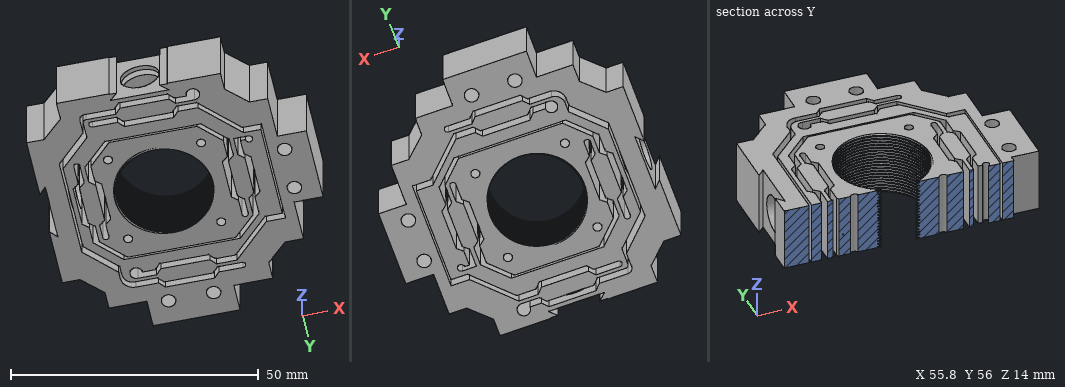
import cadquery as cq
import math

THICKNESS = 14.0
BODY_HALF = 25.0
RELIEF = 0.14
RELIEVED_SIDE = -BODY_HALF + RELIEF
SHOULDER_X = 16.94
SHOULDER_Y = 17.1
CORNER_INSET = 21.2

OFFSET_X = -0.1
OFFSET_Y = 0.1
TAB_REACH = 5.98
BACK_TAB_WIDTH = 18.0
RIGHT_TAB_WIDTH = 16.1
TAB_HOLE_DIAMETER = 2.9
TAB_HOLE_SPACING = 9.3
TAB_HOLE_SETBACK = 5.2
DOVETAIL_FLOOR = -23.39
DOVETAIL_MOUTH_HALF = 4.45
DOVETAIL_FLOOR_HALF = 6.03
ACTUATOR_HOLE_DIAMETER = 8.0
FRONT_BLOCK_DEPTH = 2.7

BORE_DIAMETER = 19.9
THREAD_ROOT_DIAMETER = 20.62
THREAD_PITCH = 25.4 / 36
THREAD_FLANK_ANGLE = 55.0
THREAD_START_ANGLE = 90.0
SCREW_HOLE_DIAMETER = 1.8
SCREW_HOLE_HALF_SPACING = 9.62

SLOT = 1.25
STAGE_X = 0.4
FRAME_GAP = 0.52
NARROW_GAP = 0.4
FRAME_WEB = 0.73
FRAME_OUTER = 21.2
FRAME_INNER = FRAME_OUTER - SLOT - FRAME_WEB
FRAME_BULGE_LONG = 6.2
FRAME_BULGE_SHORT = 5.07
STAGE_WEB = 0.9
STAGE_OUTER = 17.11
STAGE_INNER = STAGE_OUTER - SLOT - STAGE_WEB
STAGE_BULGE_LONG = 5.32
STAGE_BULGE_SHORT = 4.25


def prism(points):
    return cq.Workplane("XY").polyline(points).close().extrude(THICKNESS)


def cylinder(x, y, diameter):
    return cq.Workplane("XY").center(x, y).circle(diameter / 2).extrude(THICKNESS)


def box(x_min, x_max, y_min, y_max):
    return prism([(x_min, y_min), (x_max, y_min), (x_max, y_max), (x_min, y_max)])


def mirrored(points):
    """The same points reflected in x = 0, in reverse order."""
    return [(-x, y) for x, y in reversed(points)]


def flipped(points):
    """The same points reflected in y = 0, in reverse order."""
    return [(x, -y) for x, y in reversed(points)]


def level_bulge(y, step):
    """Edge running in +X at height y, stepping aside by `step` along the flexure block."""
    return [
        (STAGE_X - FRAME_BULGE_LONG, y),
        (STAGE_X - FRAME_BULGE_SHORT, y + step),
        (STAGE_X + FRAME_BULGE_SHORT, y + step),
        (STAGE_X + FRAME_BULGE_LONG, y),
    ]


def upright_bulge(x, step):
    """Edge running in +Y at x, stepping aside by `step` along the flexure block."""
    return [
        (x, -STAGE_BULGE_LONG),
        (x + step, -STAGE_BULGE_SHORT),
        (x + step, STAGE_BULGE_SHORT),
        (x, STAGE_BULGE_LONG),
    ]


def make_body():
    corner = [
        (BODY_HALF, SHOULDER_Y),
        (CORNER_INSET, SHOULDER_Y),
        (SHOULDER_X, CORNER_INSET),
        (SHOULDER_X, BODY_HALF),
    ]
    back = corner + mirrored(corner)
    body = prism(back + flipped(back))
    body = body.cut(box(-BODY_HALF, RELIEVED_SIDE, -BODY_HALF, BODY_HALF))
    tab_end = BODY_HALF + TAB_REACH
    back_half = BACK_TAB_WIDTH / 2
    right_half = RIGHT_TAB_WIDTH / 2
    body = body.union(box(OFFSET_X - back_half, OFFSET_X + back_half, 0, tab_end))
    body = body.union(box(0, tab_end, OFFSET_Y - right_half, OFFSET_Y + right_half))
    hole_row = tab_end - TAB_HOLE_SETBACK
    for side in (-1, 1):
        shift = side * TAB_HOLE_SPACING / 2
        body = body.cut(cylinder(OFFSET_X + shift, hole_row, TAB_HOLE_DIAMETER))
        body = body.cut(cylinder(hole_row, OFFSET_Y + shift, TAB_HOLE_DIAMETER))
    return body


def cut_dovetails(body):
    half_profile = [
        (DOVETAIL_FLOOR_HALF, DOVETAIL_FLOOR),
        (DOVETAIL_MOUTH_HALF, RELIEVED_SIDE),
        (DOVETAIL_MOUTH_HALF, -BODY_HALF),
    ]
    dovetail = prism(half_profile + mirrored(half_profile))
    front = dovetail.translate((OFFSET_X, 0, 0))
    left = dovetail.rotate((0, 0, 0), (0, 0, 1), -90).translate((0, OFFSET_Y, 0))
    land = box(-DOVETAIL_FLOOR_HALF, DOVETAIL_FLOOR_HALF, -BODY_HALF, RELIEVED_SIDE)
    land = land.translate((OFFSET_X, 0, 0))
    return body.cut(front).cut(left).cut(land)


def rounded_corner_slot(points):
    """Prism through points (x, y) or (x, y, radius); a radius rounds a square corner."""
    count = len(points)
    path = cq.Workplane("XY").moveTo(*points[0][:2])
    for i in range(1, count):
        here = cq.Vector(*points[i][:2])
        if len(points[i]) == 2:
            path = path.lineTo(here.x, here.y)
            continue
        radius = points[i][2]
        back = (cq.Vector(*points[i - 1][:2]) - here).normalized()
        ahead = (cq.Vector(*points[(i + 1) % count][:2]) - here).normalized()
        start = here + back * radius
        end = here + ahead * radius
        middle = here + (back + ahead) * radius * (1 - math.sqrt(0.5))
        path = path.lineTo(start.x, start.y).threePointArc((middle.x, middle.y), (end.x, end.y))
    return path.close().extrude(THICKNESS)


def make_left_frame_slot():
    """Slot around the left: outer slots of both frame flexures and the gap joining them."""
    back_end_x = 11.65
    relief_hole = (10.45, -21.3)
    relief_hole_diameter = 2.7
    neck_x = -13.17
    gap_x = -19.44
    knee_y = 17.0
    back_radius = 2.7
    back_inner_radius = 2.2
    front_radius = 1.2
    front_inner_radius = 0.7
    low_y = knee_y - (neck_x - gap_x)

    inner_y = FRAME_OUTER - SLOT
    outer_edge = [
        (back_end_x, FRAME_OUTER),
        *reversed(level_bulge(FRAME_OUTER, SLOT)),
        (neck_x, FRAME_OUTER, back_radius),
        (neck_x, knee_y),
        (gap_x, low_y),
        (gap_x, -low_y),
        (neck_x, -knee_y),
        (neck_x, -FRAME_OUTER, front_radius),
        *level_bulge(-FRAME_OUTER, -SLOT),
        (relief_hole[0], -FRAME_OUTER),
    ]
    inner_edge = [
        (relief_hole[0], -inner_y),
        *reversed(level_bulge(-inner_y, -SLOT)),
        (neck_x + FRAME_GAP, -inner_y, front_inner_radius),
        (neck_x + FRAME_GAP, -knee_y + SLOT),
        (gap_x + FRAME_GAP, -low_y + SLOT),
        (gap_x + FRAME_GAP, low_y - SLOT),
        (neck_x + FRAME_GAP, knee_y - SLOT),
        (neck_x + FRAME_GAP, inner_y, back_inner_radius),
        *level_bulge(inner_y, SLOT),
        (back_end_x, inner_y),
    ]
    slot = rounded_corner_slot(outer_edge + inner_edge)
    slot = slot.union(cylinder(back_end_x, FRAME_OUTER - SLOT / 2, SLOT))
    return slot.union(cylinder(*relief_hole, relief_hole_diameter))


def make_right_frame_slot():
    """Slot around the right: inner slots of both frame flexures and the gap joining them."""
    front_end_x = -10.98
    relief_hole = (-9.75, 17.95)
    relief_hole_diameter = 2.55
    diagonal_x = 10.78
    pocket_y = 11.47
    gap_x = 22.49
    pocket_x = diagonal_x + FRAME_INNER - pocket_y
    inner_y = FRAME_INNER - SLOT
    back_outer = [
        *level_bulge(FRAME_INNER, -SLOT),
        (diagonal_x, FRAME_INNER),
        (pocket_x, pocket_y),
        (gap_x, pocket_y),
    ]
    back_inner = [
        *level_bulge(inner_y, -SLOT),
        (diagonal_x, inner_y),
        (pocket_x, pocket_y - SLOT),
        (gap_x - NARROW_GAP, pocket_y - SLOT),
    ]
    outline = [
        (relief_hole[0], FRAME_INNER),
        *back_outer,
        *flipped(back_outer),
        (front_end_x, -FRAME_INNER),
        (front_end_x, -inner_y),
        *reversed(flipped(back_inner)),
        *reversed(back_inner),
        (relief_hole[0], inner_y),
    ]
    slot = prism(outline)
    slot = slot.union(cylinder(front_end_x, -FRAME_INNER + SLOT / 2, SLOT))
    return slot.union(cylinder(*relief_hole, relief_hole_diameter))


def make_outer_stage_slot():
    """Slot around the back of the stage: outer slots of both stage flexures."""
    left_end_y = -9.45
    left_knee_y = 9.05
    right_knee_y = 9.3
    gap_y = 14.28
    hook_x = 19.27
    hook_bottom_y = -9.23
    hook_width = 0.72
    left = STAGE_X - STAGE_OUTER
    right = STAGE_X + STAGE_OUTER
    hook_top_y = hook_bottom_y + hook_width
    left_rise = gap_y - left_knee_y
    right_rise = gap_y - right_knee_y
    inner_gap_y = gap_y - NARROW_GAP
    outline = [
        (left, left_end_y),
        *upright_bulge(left, -SLOT),
        (left, left_knee_y),
        (left + left_rise, gap_y),
        (right - right_rise, gap_y),
        (right, right_knee_y),
        *reversed(upright_bulge(right, SLOT)),
        (right, hook_top_y),
        (hook_x, hook_top_y),
        (hook_x, hook_bottom_y),
        (right - SLOT, hook_bottom_y),
        *upright_bulge(right - SLOT, SLOT),
        (right - SLOT, right_knee_y),
        (right - SLOT - right_rise + NARROW_GAP, inner_gap_y),
        (left + SLOT + left_rise - NARROW_GAP, inner_gap_y),
        (left + SLOT, left_knee_y),
        *reversed(upright_bulge(left + SLOT, -SLOT)),
        (left + SLOT, left_end_y),
    ]
    slot = prism(outline)
    slot = slot.union(cylinder(left + SLOT / 2, left_end_y, SLOT))
    return slot.union(cylinder(hook_x, hook_top_y, 2 * hook_width))


def make_inner_stage_slot():
    """Slot around the front of the stage: inner slots of both stage flexures."""
    left_end_y = 8.25
    right_end_y = 8.8
    left_knee_y = -8.87
    right_knee_y = -9.23
    gap_y = -14.07
    left = STAGE_X - STAGE_INNER
    right = STAGE_X + STAGE_INNER
    left_drop = left_knee_y - gap_y
    right_drop = right_knee_y - gap_y
    inner_gap_y = gap_y + NARROW_GAP
    outline = [
        (left, left_end_y),
        *reversed(upright_bulge(left, SLOT)),
        (left, left_knee_y),
        (left + left_drop, gap_y),
        (right - right_drop, gap_y),
        (right, right_knee_y),
        *upright_bulge(right, -SLOT),
        (right, right_end_y),
        (right - SLOT, right_end_y),
        *reversed(upright_bulge(right - SLOT, -SLOT)),
        (right - SLOT, right_knee_y),
        (right - SLOT - right_drop + NARROW_GAP, inner_gap_y),
        (left + SLOT + left_drop - NARROW_GAP, inner_gap_y),
        (left + SLOT, left_knee_y),
        *upright_bulge(left + SLOT, SLOT),
        (left + SLOT, left_end_y),
    ]
    slot = prism(outline)
    slot = slot.union(cylinder(left + SLOT / 2, left_end_y, SLOT))
    return slot.union(cylinder(right - SLOT / 2, right_end_y, SLOT))


def cut_actuator_holes(body):
    """Level holes from the dovetail floors, each opening into the flexure slot behind it.

    The front hole carries on as a blind hole in the flexure block.
    """
    mid_z = THICKNESS / 2
    left_end = STAGE_X - STAGE_OUTER - SLOT / 2
    front_end = -FRAME_OUTER + FRONT_BLOCK_DEPTH
    radius = ACTUATOR_HOLE_DIAMETER / 2
    left = cq.Solid.makeCylinder(
        radius,
        left_end + BODY_HALF,
        cq.Vector(-BODY_HALF, OFFSET_Y, mid_z),
        cq.Vector(1, 0, 0),
    )
    front = cq.Solid.makeCylinder(
        radius,
        front_end + BODY_HALF,
        cq.Vector(OFFSET_X, -BODY_HALF, mid_z),
        cq.Vector(0, 1, 0),
    )
    return body.cut(left).cut(front)


def cut_threaded_bore(body):
    body = body.cut(cylinder(0, 0, BORE_DIAMETER))
    crest = BORE_DIAMETER / 2
    root = THREAD_ROOT_DIAMETER / 2
    clearance = 0.1
    half_tangent = math.tan(math.radians(THREAD_FLANK_ANGLE / 2))
    half_height = (root - crest + clearance) * half_tangent
    profile = (
        cq.Workplane("XZ")
        .moveTo(crest - clearance, -half_height)
        .lineTo(root, 0)
        .lineTo(crest - clearance, half_height)
        .close()
    )
    helix = cq.Wire.makeHelix(THREAD_PITCH, THREAD_PITCH, crest)
    turn = profile.sweep(cq.Workplane(obj=helix), isFrenet=True)
    turn = turn.rotate((0, 0, 0), (0, 0, 1), THREAD_START_ANGLE)
    turns_below_top = math.ceil(THICKNESS / THREAD_PITCH) + 1
    for i in range(turns_below_top + 1):
        body = body.cut(turn.translate((0, 0, THICKNESS - i * THREAD_PITCH)))
    return body


def cut_screw_holes(body):
    for x in (-SCREW_HOLE_HALF_SPACING, SCREW_HOLE_HALF_SPACING):
        for y in (-SCREW_HOLE_HALF_SPACING, SCREW_HOLE_HALF_SPACING):
            body = body.cut(cylinder(x, y, SCREW_HOLE_DIAMETER))
    return body


body = cut_threaded_bore(cut_dovetails(make_body()))
body = cut_screw_holes(cut_actuator_holes(body))
for slot in (
    make_left_frame_slot(),
    make_right_frame_slot(),
    make_outer_stage_slot(),
    make_inner_stage_slot(),
):
    body = body.cut(slot)
result = body